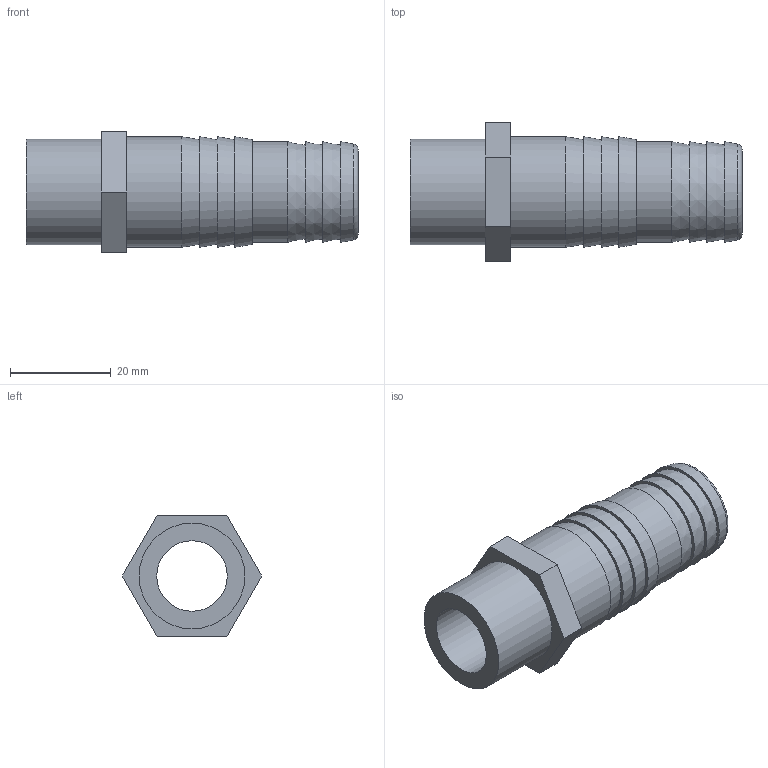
import cadquery as cq
import math

bore_diameter = 14.0
spigot_diameter = 21.0
spigot_length = 15.0
hex_across_flats = 24.0
hex_thickness = 5.0
large_diameter = 22.0
large_plain_length = 11.0
small_diameter = 20.0
small_plain_length = 7.0

barb_pitch = 3.5
barbs_per_step = 4
barb_taper_angle = 10.0
tip_fillet_radius = 1.0

barb_drop = barb_pitch * math.tan(math.radians(barb_taper_angle))
step_barbed_length = barbs_per_step * barb_pitch
hex_start = spigot_length
large_start = hex_start + hex_thickness
small_start = large_start + large_plain_length + step_barbed_length
total_length = small_start + small_plain_length + step_barbed_length


def cylinder(start, length, diameter):
    """Solid cylinder on the X axis."""
    return cq.Workplane("YZ", origin=(start, 0, 0)).circle(diameter / 2).extrude(length)


def hex_collar():
    """Hexagon with flats facing +Z and -Z and corners toward +Y and -Y."""
    across_corners = hex_across_flats / math.cos(math.radians(30))
    return (
        cq.Workplane("YZ", origin=(hex_start, 0, 0))
        .polygon(6, across_corners)
        .extrude(hex_thickness)
    )


def hose_step(start, plain_length, diameter):
    """Plain length followed by conical barbs that narrow toward +X."""
    crest_radius = diameter / 2
    root_radius = crest_radius - barb_drop
    barbs_start = start + plain_length
    profile = cq.Workplane("XY").moveTo(start, 0).lineTo(start, crest_radius)
    for index in range(barbs_per_step):
        crest_x = barbs_start + index * barb_pitch
        profile = profile.lineTo(crest_x, crest_radius)
        profile = profile.lineTo(crest_x + barb_pitch, root_radius)
    profile = profile.lineTo(barbs_start + step_barbed_length, 0).close()
    return profile.revolve(360, (0, 0, 0), (1, 0, 0))


spigot = cylinder(0, spigot_length, spigot_diameter)
large_step = hose_step(large_start, large_plain_length, large_diameter)
small_step = hose_step(small_start, small_plain_length, small_diameter)
small_step = small_step.faces(">X").edges().fillet(tip_fillet_radius)

body = spigot.union(hex_collar()).union(large_step).union(small_step)
result = body.cut(cylinder(0, total_length, bore_diameter))